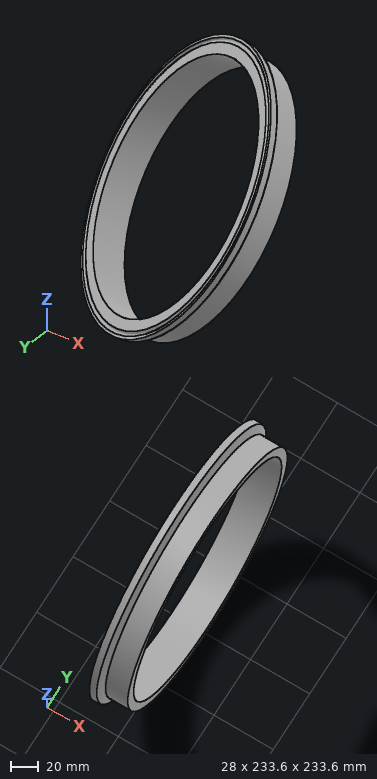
import cadquery as cq

width = 28.0
rim_radius = 116.8
tube_radius = 109.5
bore_radius = 101.3

rim_flat_end = 5.1
rim_edge_round = 0.7
cone_start = rim_flat_end + rim_edge_round
cone_start_radius = rim_radius - rim_edge_round
blend_start = 8.0
blend_start_radius = 111.4
blend_end = 9.3
blend_mid = (8.5, 110.2)

groove_outer_radius = 114.2
floor_outer_radius = 113.5
floor_inner_radius = 111.5
groove_inner_radius = 110.5
groove_depth = 1.5
floor_mid_radius = (floor_outer_radius + floor_inner_radius) / 2
floor_sag = 0.5


def revolve_about_x(profile):
    """Turn a closed (axial position, radius) profile around the X axis."""
    return profile.close().revolve(360, (0, 0, 0), (1, 0, 0))


def make_flanged_ring():
    half_round = rim_edge_round * 0.5**0.5
    profile = (
        cq.Workplane("XY")
        .moveTo(0, bore_radius)
        .lineTo(0, rim_radius)
        .lineTo(rim_flat_end, rim_radius)
        .threePointArc(
            (rim_flat_end + half_round, cone_start_radius + half_round),
            (cone_start, cone_start_radius),
        )
        .lineTo(blend_start, blend_start_radius)
        .threePointArc(blend_mid, (blend_end, tube_radius))
        .lineTo(width, tube_radius)
        .lineTo(width, bore_radius)
    )
    return revolve_about_x(profile)


def make_seal_groove():
    profile = (
        cq.Workplane("XY")
        .moveTo(0, groove_inner_radius)
        .lineTo(groove_depth, floor_inner_radius)
        .threePointArc(
            (groove_depth + floor_sag, floor_mid_radius),
            (groove_depth, floor_outer_radius),
        )
        .lineTo(0, groove_outer_radius)
    )
    return revolve_about_x(profile)


result = make_flanged_ring().cut(make_seal_groove())